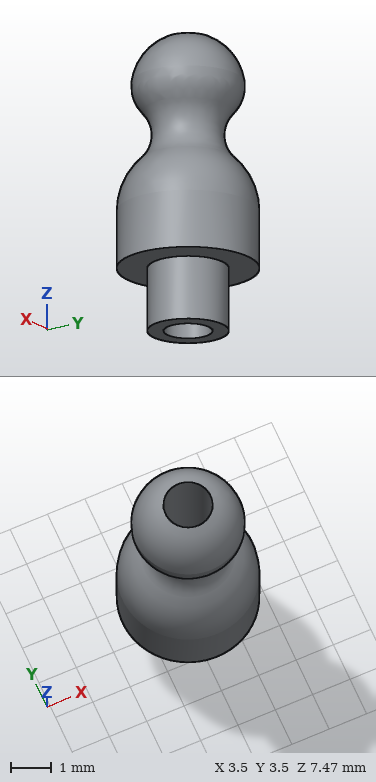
import cadquery as cq
import math

total_height = 7.47
body_radius = 3.5 / 2
pin_radius = 2.0 / 2
bore_radius = 1.2 / 2

pin_top = 1.605
dome_base = 3.07
dome_top = 4.38
waist_height = 5.02
neck_top = 5.64
under_ball_height = 5.85
ball_seam = 6.38

waist_radius = 0.9
neck_top_radius = 1.13
under_ball_radius = 1.285
ball_radius = 1.405

ball_center = total_height - math.sqrt(ball_radius**2 - bore_radius**2)


def sphere_section(sphere_radius, sphere_center, height):
    """Return the profile point on a sphere at the given height."""
    return (math.sqrt(sphere_radius**2 - (height - sphere_center) ** 2), height)


dome_middle = (dome_base + dome_top) / 2
ball_middle = (ball_seam + total_height) / 2

profile = (
    cq.Workplane("XZ")
    .moveTo(bore_radius, 0)
    .lineTo(pin_radius, 0)
    .lineTo(pin_radius, pin_top)
    .lineTo(body_radius, pin_top)
    .lineTo(body_radius, dome_base)
    .threePointArc(
        sphere_section(body_radius, dome_base, dome_middle),
        sphere_section(body_radius, dome_base, dome_top),
    )
    .threePointArc((waist_radius, waist_height), (neck_top_radius, neck_top))
    .threePointArc(
        (under_ball_radius, under_ball_height),
        sphere_section(ball_radius, ball_center, ball_seam),
    )
    .threePointArc(
        sphere_section(ball_radius, ball_center, ball_middle),
        (bore_radius, total_height),
    )
    .close()
)

result = profile.revolve(360, (0, 0, 0), (0, 1, 0))